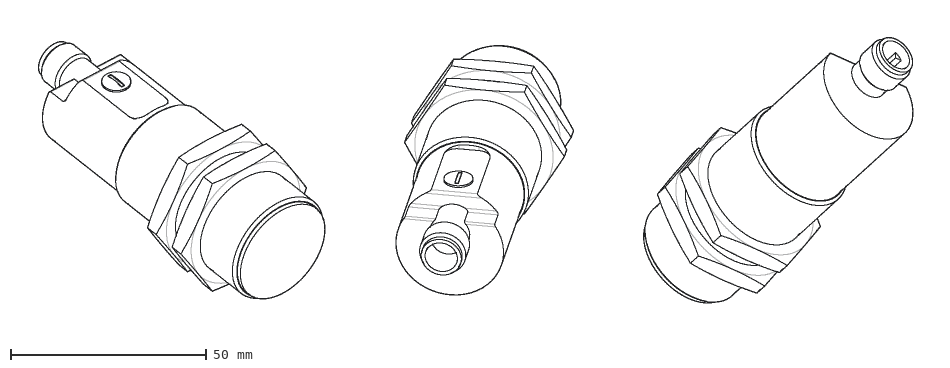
import cadquery as cq
import math


housing_length = 80.0
thread_dia = 30.0
thread_root_dia = 28.38
thread_chamfer = (thread_dia - thread_root_dia) / 2
rear_length = 30.0
rear_dia = 28.0
front_cap_length = 1.2

step_length = 6.0
step_z = 7.8
step_outer_radius = 0.5
step_inner_radius = 0.7
wall_top_radius = 0.75

flat_z = 12.65
flat_end_x = 28.5
flat_corner_radius = 3.4

connector_z = 4.16
connector_length = 12.3
neck_dia = 10.45
collar_dia = 12.0
collar_chamfer = (collar_dia - neck_dia) / 2
collar_start = 1.35
collar_length = 7.1
socket_dia = 8.4
socket_depth = 9.0
key_corner = 1.95
key_setback = 3.0

adjuster_x = 12.75
adjuster_dia = 7.5
adjuster_rim_height = 0.5
adjuster_height = 0.95
slot_length = 5.5
slot_width = 0.9
slot_depth = 0.4

nut_across_flats = 36.0
nut_thickness = 5.0
nut_starts = (50.0, 60.0)
nut_chamfer_angle = 15.0


def make_barrel():
    """Turned body: plain rear section, chamfered thread and front cap."""
    thread_end = housing_length - front_cap_length
    profile = [
        (0, 0),
        (0, rear_dia / 2),
        (rear_length, rear_dia / 2),
        (rear_length, thread_root_dia / 2),
        (rear_length + thread_chamfer, thread_dia / 2),
        (thread_end - thread_chamfer, thread_dia / 2),
        (thread_end, thread_root_dia / 2),
        (thread_end, rear_dia / 2),
        (housing_length, rear_dia / 2),
        (housing_length, 0),
    ]
    return cq.Workplane("XY").polyline(profile).close().revolve(360, (0, 0, 0), (1, 0, 0))


def make_step_cut():
    """Material removed above the step and its rounded wall, up to the edge of the flat."""
    diagonal = math.sqrt(0.5)
    top_z = thread_dia / 2
    outer_offset = step_outer_radius * (1 - diagonal)
    inner_offset = step_inner_radius * (1 - diagonal)
    wall_offset = wall_top_radius * (1 - diagonal)
    return (
        cq.Workplane("XZ")
        .moveTo(0, step_z - step_outer_radius)
        .threePointArc((outer_offset, step_z - outer_offset), (step_outer_radius, step_z))
        .lineTo(step_length - step_inner_radius, step_z)
        .threePointArc(
            (step_length - inner_offset, step_z + inner_offset),
            (step_length, step_z + step_inner_radius),
        )
        .lineTo(step_length, flat_z - wall_top_radius)
        .threePointArc(
            (step_length + wall_offset, flat_z - wall_offset),
            (step_length + wall_top_radius, flat_z),
        )
        .lineTo(step_length + wall_top_radius, top_z)
        .lineTo(0, top_z)
        .close()
        .extrude(rear_dia / 2, both=True)
    )


def make_flat_cut():
    """Shallow pocket above the flat: open at the wall, round-cornered at its front end."""
    flat_width = 2 * math.sqrt((rear_dia / 2) ** 2 - flat_z**2)
    depth = thread_dia / 2 - flat_z
    return (
        cq.Workplane("XY")
        .box(flat_end_x - step_length, flat_width, depth, centered=(False, True, False))
        .edges("|Z and >X")
        .fillet(flat_corner_radius)
        .translate((step_length, 0, flat_z))
    )


def make_connector():
    """Turned neck with a chamfered collar, reaching forward into the step wall."""
    tip_x = -connector_length
    collar_x = tip_x + collar_start
    collar_end_x = collar_x + collar_length
    neck_end_x = step_length + wall_top_radius
    profile = [
        (tip_x, 0),
        (tip_x, neck_dia / 2),
        (collar_x, neck_dia / 2),
        (collar_x + collar_chamfer, collar_dia / 2),
        (collar_end_x - collar_chamfer, collar_dia / 2),
        (collar_end_x, neck_dia / 2),
        (neck_end_x, neck_dia / 2),
        (neck_end_x, 0),
    ]
    return (
        cq.Workplane("XY")
        .polyline(profile)
        .close()
        .revolve(360, (0, 0, 0), (1, 0, 0))
        .translate((0, 0, connector_z))
    )


def make_socket_cut():
    """Blind connector bore, less the square-cornered key set back inside it."""
    bore = cq.Workplane("YZ").circle(socket_dia / 2).extrude(socket_depth)
    key_size = socket_dia / 2
    key = cq.Workplane("XY").box(socket_depth, key_size, key_size, centered=False)
    key = key.translate((key_setback, -key_corner - key_size, key_corner))
    return bore.cut(key).translate((-connector_length, 0, connector_z))


def make_adjuster():
    """Low round screw head with a domed top and a slot along X."""
    rim_radius = adjuster_dia / 2
    dome_rise = adjuster_height - adjuster_rim_height
    dome_radius = (rim_radius**2 + dome_rise**2) / (2 * dome_rise)
    mid_radius = rim_radius / 2
    mid_height = adjuster_height - dome_radius + math.sqrt(dome_radius**2 - mid_radius**2)
    head = (
        cq.Workplane("XZ")
        .lineTo(rim_radius, 0)
        .lineTo(rim_radius, adjuster_rim_height)
        .threePointArc((mid_radius, mid_height), (0, adjuster_height))
        .close()
        .revolve(360, (0, 0, 0), (0, 1, 0))
    )
    slot = (
        cq.Workplane("XY")
        .workplane(offset=adjuster_height - slot_depth)
        .rect(slot_length, slot_width)
        .extrude(slot_depth)
    )
    return head.cut(slot).translate((adjuster_x, 0, flat_z))


def make_housing():
    housing = make_barrel().cut(make_step_cut()).cut(make_flat_cut())
    housing = housing.union(make_connector()).cut(make_socket_cut())
    return housing.union(make_adjuster())


def make_nut(start_x):
    """Hexagon nut with corners toward +Y and -Y, chamfered on both faces."""
    corner_radius = nut_across_flats / 2 / math.cos(math.radians(30))
    face_radius = nut_across_flats / 2
    chamfer_depth = (corner_radius - face_radius) * math.tan(math.radians(nut_chamfer_angle))
    hexagon = cq.Workplane("YZ").polygon(6, 2 * corner_radius).extrude(nut_thickness)
    chamfer_profile = [
        (0, 0),
        (0, face_radius),
        (chamfer_depth, corner_radius),
        (nut_thickness - chamfer_depth, corner_radius),
        (nut_thickness, face_radius),
        (nut_thickness, 0),
    ]
    chamfer_envelope = (
        cq.Workplane("XY").polyline(chamfer_profile).close().revolve(360, (0, 0, 0), (1, 0, 0))
    )
    bore = cq.Workplane("YZ").circle(thread_dia / 2).extrude(nut_thickness)
    return hexagon.intersect(chamfer_envelope).cut(bore).translate((start_x, 0, 0))


housing = make_housing()
nuts = [make_nut(start_x) for start_x in nut_starts]

result = cq.Compound.makeCompound([housing.val(), *[nut.val() for nut in nuts]])